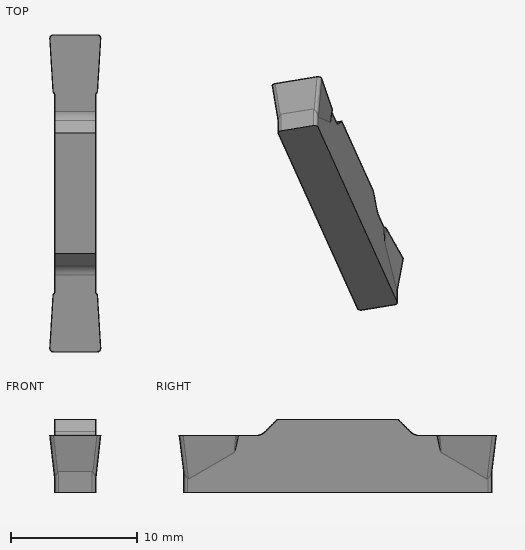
import cadquery as cq
import math

length = 25.08
head_width = 4.05
height = 5.8

shank_width = 3.25
shoulder_height = 4.51
ridge_length = 9.53
ridge_root_radius = 1.0
end_inset = 0.35
corner_radius = 0.3

end_relief = math.tan(math.radians(7.0))
side_relief = math.tan(math.radians(6.0))
taper_angle = math.radians(3.5)
side_taper = math.tan(taper_angle)
corner_tangent = corner_radius * math.tan(math.pi / 4 + taper_angle / 2)
sharp_width = head_width + 2 * corner_tangent * math.sin(taper_angle)
rear_corner_radius = 0.18
head_length = 4.51
back_slope = 1.4
back_relief = 0.22
core_half_width = 1.0


def make_shank():
    half_length = length / 2 - end_inset
    half_ridge = ridge_length / 2
    ridge_foot = half_ridge + height - shoulder_height
    profile = [
        (-half_length, 0),
        (half_length, 0),
        (half_length, shoulder_height),
        (ridge_foot, shoulder_height),
        (half_ridge, height),
        (-half_ridge, height),
        (-ridge_foot, shoulder_height),
        (-half_length, shoulder_height),
    ]
    shank = cq.Workplane("YZ").polyline(profile).close().extrude(shank_width / 2, both=True)
    end_edges = shank.faces("<Y or >Y").edges("|Z")
    shank = end_edges.fillet(corner_radius)
    margin = 0.03
    roots = cq.selectors.BoxSelector(
        (-shank_width, -ridge_foot - margin, shoulder_height - margin),
        (shank_width, ridge_foot + margin, shoulder_height + margin),
    )
    return shank.edges("|X").edges(roots).fillet(ridge_root_radius)


def head_outline(depth):
    """Section of the +Y head at a given depth below the shoulder."""
    tip_y = length / 2 - depth * end_relief

    def half_width(y):
        return sharp_width / 2 - depth * side_relief - (length / 2 - y) * side_taper

    top_back_y = length / 2 - head_length
    top_half_width = sharp_width / 2 - head_length * side_taper
    core_y = top_back_y - back_slope * (top_half_width - core_half_width) + depth * back_relief
    corner_run = back_slope * (half_width(core_y) - core_half_width) / (1 - back_slope * side_taper)
    back_y = core_y + corner_run

    right_side = [
        (core_half_width, core_y),
        (half_width(back_y), back_y),
        (half_width(tip_y), tip_y),
    ]
    left_side = [(-x, y) for x, y in reversed(right_side)]
    return right_side + left_side


def make_head():
    head = (
        cq.Workplane("XY")
        .polyline(head_outline(shoulder_height))
        .close()
        .workplane(offset=shoulder_height)
        .polyline(head_outline(0))
        .close()
        .loft(ruled=True, combine=True)
    )
    head = head.faces(">Y").edges("not |X").fillet(corner_radius)
    rear_y = length / 2 - head_length
    middle_z = shoulder_height / 2
    for side in (-1, 1):
        rear_corner = cq.selectors.NearestToPointSelector((side * head_width / 2, rear_y, middle_z))
        head = head.edges(rear_corner).fillet(rear_corner_radius)
    return head


head = make_head()
result = make_shank().union(head).union(head.mirror("XZ"))